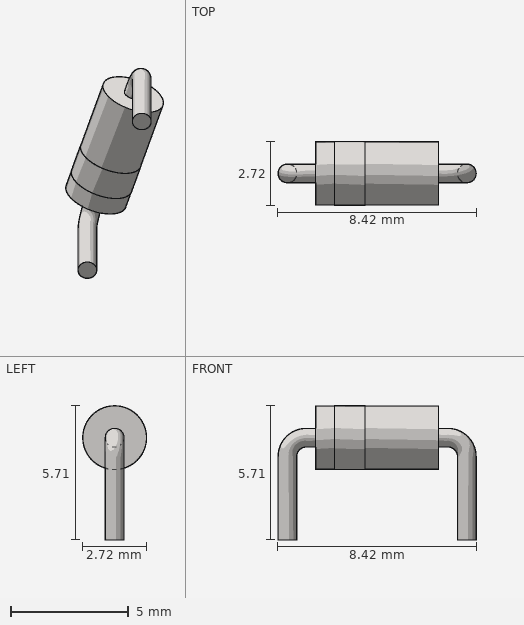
import cadquery as cq

overall_length = 8.42
body_length = 5.22
body_diameter = 2.7
band_diameter = 2.72
band_offset = 0.8
band_width = 1.29
lead_diameter = 0.8
bend_radius = lead_diameter
overall_height = 5.71

lead_x = (overall_length - lead_diameter) / 2
bend_start_x = lead_x - bend_radius
lead_bottom_z = band_diameter / 2 - overall_height


def cylinder_along_x(start_x, length, diameter):
    return cq.Workplane("YZ", origin=(start_x, 0, 0)).circle(diameter / 2).extrude(length)


def make_body():
    body_start_x = -body_length / 2
    core = cylinder_along_x(body_start_x, body_length, body_diameter)
    band = cylinder_along_x(body_start_x + band_offset, band_width, band_diameter)
    return core.union(band)


def make_lead():
    """Lead on the +X side, from the middle of the body to its lower end."""
    straight = cylinder_along_x(0, bend_start_x, lead_diameter)
    bend = (
        cq.Workplane("YZ", origin=(bend_start_x, 0, 0))
        .circle(lead_diameter / 2)
        .revolve(90, (0, -bend_radius, 0), (1, -bend_radius, 0))
    )
    leg = (
        cq.Workplane("XY", origin=(lead_x, 0, lead_bottom_z))
        .circle(lead_diameter / 2)
        .extrude(-bend_radius - lead_bottom_z)
    )
    return straight.union(bend).union(leg)


lead = make_lead()
result = make_body().union(lead).union(lead.mirror("YZ"))